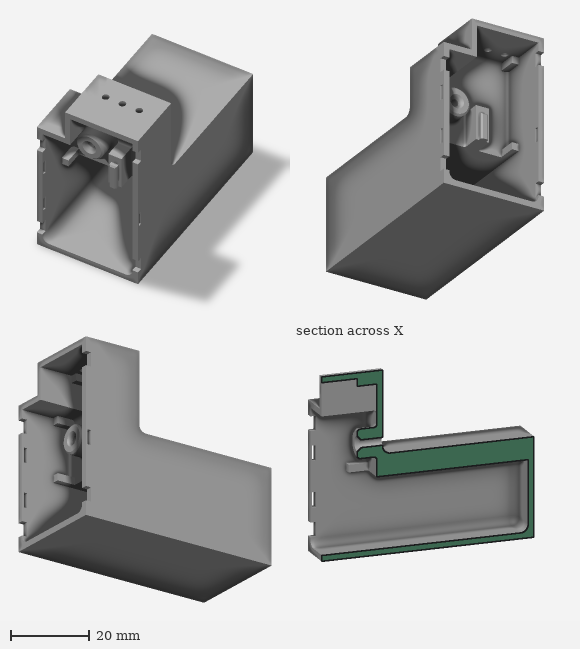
import cadquery as cq

WIDTH = 30.0
LENGTH = 58
HEIGHT = 49.5
WALL = 1.7
OVERLAP = 0.6

HEAD_DEPTH = 16.7
BODY_HEIGHT = 27.0
SHOULDER_WIDTH = 8.4
SHOULDER_HEIGHT = 40.5
LARGE_RADIUS = 2.05

BODY_CEILING = 20.95
STEP_WALL = 1.45
HEAD_CORNER_RADIUS = 0.9
INNER_RIGHT = WIDTH - WALL
INNER_TOP = HEIGHT - WALL
SHOULDER_CEILING = SHOULDER_HEIGHT - WALL
INNER_STEP_X = SHOULDER_WIDTH + STEP_WALL
HEAD_BACK = HEAD_DEPTH - WALL

STOP_Y = 9.7
BAR_SIZE = 2.05
BLOCK_CENTER_X = 17.45
BLOCK_WIDTH = 3.9
BLOCK_TOP = 30.75
BLOCK_ROOT_RADIUS = 0.65
RIB_WIDTH = 2.15
RIB_TOP = 28.35
RIB_CHAMFER = 0.4
RIB_FRONT_Y = 8.35

OUTLET_X = INNER_STEP_X
OUTLET_Z = 30.35
OUTLET_DIAMETER = 2.0
COUNTERSINK_DIAMETER = 4.05
BOSS_DIAMETER = 8.05
BOSS_CHAMFER = 0.5
BOSS_ROOT_RADIUS = 0.8

TOP_HOLE_DIAMETER = 2.0
TOP_HOLE_PITCH = 5.0
TOP_HOLE_CENTER_X = 19.4
TOP_HOLE_Y = 10.2

NOTCH_DEPTH = 1.55
NOTCH_HEIGHT = 3.95
LOW_NOTCH_Z = 4.05
LEFT_HIGH_NOTCH_Z = 32.5
RIGHT_HIGH_NOTCH_Z = 41.45
SLOT_FRONT_Y = 0.5
SLOT_HEIGHT = 4.1
LEFT_SLOT_ZS = (11.95, 24.4)
RIGHT_SLOT_ZS = (19.7,)


def box(x0, x1, y0, y1, z0, z1):
    """Axis-aligned box between two opposite corners."""
    return cq.Workplane("XY").box(x1 - x0, y1 - y0, z1 - z0, centered=False).translate((x0, y0, z0))


def stepped_prism(x0, x1, step_x, z0, step_z, z1, depth):
    """Prism along +Y from the front plane, with a step in its upper left corner."""
    points = [(x0, z0), (x1, z0), (x1, z1), (step_x, z1), (step_x, step_z), (x0, step_z)]
    return cq.Workplane("XZ").polyline(points).close().extrude(-depth)


def outer_shape():
    """Stepped head and low body, blended where the body roof meets the back of the head."""
    head = stepped_prism(0, WIDTH, SHOULDER_WIDTH, 0, SHOULDER_HEIGHT, HEIGHT, HEAD_DEPTH)
    body = box(0, WIDTH, 0, LENGTH, 0, BODY_HEIGHT)
    corner = cq.selectors.NearestToPointSelector((WIDTH / 2, HEAD_DEPTH, BODY_HEIGHT))
    return head.union(body).edges(corner).fillet(LARGE_RADIUS)


def body_cavity():
    """Long chamber with rounded floor and rear corners under a sharp ceiling."""
    cavity = box(WALL, INNER_RIGHT, 0, LENGTH - WALL, WALL, BODY_CEILING)
    return cavity.edges("(<Z and (not <Y)) or (>Y and |Z)").fillet(LARGE_RADIUS)


def head_cavity():
    """Chamber of the head, rounded where its back wall meets the sides and ceilings."""
    cavity = stepped_prism(
        WALL, INNER_RIGHT, INNER_STEP_X, BODY_CEILING - OVERLAP, SHOULDER_CEILING, INNER_TOP, HEAD_BACK
    )
    middle_z = (BODY_CEILING + SHOULDER_CEILING) / 2
    rounded_edge_points = [
        (WALL, HEAD_BACK, middle_z),
        (INNER_RIGHT, HEAD_BACK, (BODY_CEILING + INNER_TOP) / 2),
        ((WALL + INNER_STEP_X) / 2, HEAD_BACK, SHOULDER_CEILING),
        ((INNER_STEP_X + INNER_RIGHT) / 2, HEAD_BACK, INNER_TOP),
    ]
    rounded_edges = [
        cavity.edges(cq.selectors.NearestToPointSelector(point)).val() for point in rounded_edge_points
    ]
    return cavity.newObject(rounded_edges).fillet(HEAD_CORNER_RADIUS)


def stop_bars():
    """Square bars in the corners of the head, ending in one plane."""
    corners = [
        (WALL, BODY_CEILING),
        (INNER_RIGHT - BAR_SIZE, BODY_CEILING),
        (WALL, SHOULDER_CEILING - BAR_SIZE),
        (INNER_STEP_X, INNER_TOP - BAR_SIZE),
        (INNER_RIGHT - BAR_SIZE, INNER_TOP - BAR_SIZE),
    ]
    bars = cq.Workplane("XY")
    for x, z in corners:
        bars = bars.union(box(x, x + BAR_SIZE, STOP_Y, HEAD_BACK + OVERLAP, z, z + BAR_SIZE))
    return bars


def block_section(width, top, y):
    """Rectangle of the latch block or its rib, standing on the ceiling line in the plane at y."""
    height = top - BODY_CEILING
    plane = cq.Workplane("XZ", origin=(BLOCK_CENTER_X, y, BODY_CEILING + height / 2))
    return plane.rect(width, height)


def root_flare():
    """Solid with a concave quarter round around the sides and top of the block root."""
    flare_width = BLOCK_WIDTH + 2 * BLOCK_ROOT_RADIUS
    flare_top = BLOCK_TOP + BLOCK_ROOT_RADIUS
    left_x = BLOCK_CENTER_X - flare_width / 2
    front_y = HEAD_BACK - BLOCK_ROOT_RADIUS
    flare = block_section(flare_width, flare_top, HEAD_BACK).extrude(BLOCK_ROOT_RADIUS)
    side_grooves = (
        cq.Workplane("XY", origin=(0, 0, BODY_CEILING))
        .pushPoints([(left_x, front_y), (left_x + flare_width, front_y)])
        .circle(BLOCK_ROOT_RADIUS)
        .extrude(flare_top - BODY_CEILING)
    )
    top_groove = (
        cq.Workplane("YZ", origin=(left_x, front_y, flare_top))
        .circle(BLOCK_ROOT_RADIUS)
        .extrude(flare_width)
    )
    return flare.cut(side_grooves).cut(top_groove)


def latch_block():
    """Block with a flared root, carrying a narrower rib with a chamfered front."""
    block = block_section(BLOCK_WIDTH, BLOCK_TOP, HEAD_BACK).extrude(HEAD_BACK - STOP_Y)
    rib = block_section(RIB_WIDTH, RIB_TOP, HEAD_BACK).extrude(HEAD_BACK - RIB_FRONT_Y)
    rib = rib.faces("<Y").edges("not <Z").chamfer(RIB_CHAMFER)
    return block.union(root_flare()).union(rib)


def turned(profile):
    """Revolve a closed (radius, y) profile about the outlet axis."""
    return profile.close().revolve(360, (0, 0, 0), (0, 1, 0))


def outlet_boss():
    """Round boss with a chamfered tip and a concave round at its root."""
    radius = BOSS_DIAMETER / 2
    root_y = HEAD_BACK - BOSS_ROOT_RADIUS
    profile = (
        cq.Workplane("XY", origin=(OUTLET_X, 0, OUTLET_Z))
        .moveTo(0, HEAD_DEPTH)
        .lineTo(0, STOP_Y)
        .lineTo(radius - BOSS_CHAMFER, STOP_Y)
        .lineTo(radius, STOP_Y + BOSS_CHAMFER)
        .lineTo(radius, root_y)
        .radiusArc((radius + BOSS_ROOT_RADIUS, HEAD_BACK), BOSS_ROOT_RADIUS)
        .lineTo(radius + BOSS_ROOT_RADIUS, HEAD_DEPTH)
    )
    return turned(profile)


def outlet_bore():
    """Through hole with a 45 degree countersink at the boss tip."""
    hole_radius = OUTLET_DIAMETER / 2
    sink_radius = COUNTERSINK_DIAMETER / 2
    sink_depth = sink_radius - hole_radius
    profile = cq.Workplane("XY", origin=(OUTLET_X, 0, OUTLET_Z)).polyline([
        (0, STOP_Y),
        (sink_radius, STOP_Y),
        (hole_radius, STOP_Y + sink_depth),
        (hole_radius, HEAD_DEPTH + OVERLAP),
        (0, HEAD_DEPTH + OVERLAP),
    ])
    return turned(profile)


def top_holes():
    """Row of three holes through the top wall."""
    centers = [(TOP_HOLE_CENTER_X + i * TOP_HOLE_PITCH, TOP_HOLE_Y) for i in (-1, 0, 1)]
    plane = cq.Workplane("XY", origin=(0, 0, INNER_TOP))
    return plane.pushPoints(centers).circle(TOP_HOLE_DIAMETER / 2).extrude(WALL)


def rim_openings(x0, high_notch_z, slot_zs):
    """Notches and slots through the side wall that starts at x0."""
    openings = cq.Workplane("XY")
    for z in (LOW_NOTCH_Z, high_notch_z):
        openings = openings.union(box(x0, x0 + WALL, 0, NOTCH_DEPTH, z, z + NOTCH_HEIGHT))
    for z in slot_zs:
        openings = openings.union(box(x0, x0 + WALL, SLOT_FRONT_Y, NOTCH_DEPTH, z, z + SLOT_HEIGHT))
    return openings


result = (
    outer_shape()
    .cut(body_cavity())
    .cut(head_cavity())
    .union(stop_bars())
    .union(latch_block())
    .union(outlet_boss())
    .cut(outlet_bore())
    .cut(top_holes())
    .cut(rim_openings(0, LEFT_HIGH_NOTCH_Z, LEFT_SLOT_ZS))
    .cut(rim_openings(INNER_RIGHT, RIGHT_HIGH_NOTCH_Z, RIGHT_SLOT_ZS))
)